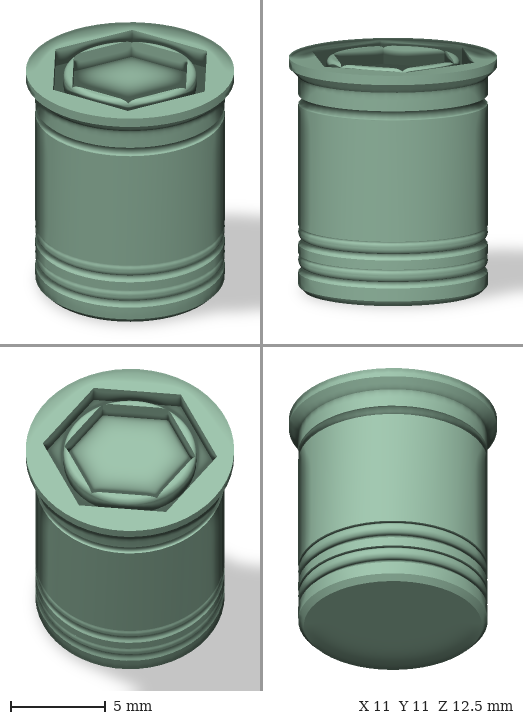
import cadquery as cq
import math

height = 12.5
body_radius = 5.0
bottom_chamfer = 0.3

flange_radius = 5.5
flange_rim_height = 0.5
flange_cone_height = flange_radius - body_radius

relief_top = 10.5
relief_width = 0.5
relief_depth = 0.3
relief_fillet = relief_width / 2

ring_bottoms = [1.3, 2.8]
ring_height = 0.7
ring_thickness = 0.7
ring_fillet = 0.3
groove_lip_chamfer = 0.3

drive_depth = 1.0
recess_across_flats = 8.0
socket_across_flats = 6.0
collar_radius = 3.5
collar_fillet = 0.3


def hex_prism(across_flats):
    """Hexagonal prism over the drive depth, with corners on the Y axis."""
    across_corners = across_flats / math.cos(math.pi / 6)
    return (
        cq.Workplane("XY")
        .workplane(offset=height - drive_depth)
        .transformed(rotate=(0, 0, 90))
        .polygon(6, across_corners)
        .extrude(drive_depth)
    )


def make_blank():
    """Solid plug with its flange and bottom chamfer."""
    rim_bottom = height - flange_rim_height
    return (
        cq.Workplane("XZ")
        .moveTo(0, 0)
        .lineTo(body_radius - bottom_chamfer, 0)
        .lineTo(body_radius, bottom_chamfer)
        .lineTo(body_radius, rim_bottom - flange_cone_height)
        .lineTo(flange_radius, rim_bottom)
        .lineTo(flange_radius, height)
        .lineTo(0, height)
        .close()
        .revolve(360, (0, 0, 0), (0, 1, 0))
    )


def make_relief_cutter():
    """Ring-shaped cutter for the relief groove, rounded at its inner edge."""
    floor_radius = body_radius - relief_depth
    arc_center_radius = floor_radius + relief_fillet
    return (
        cq.Workplane("XZ")
        .moveTo(body_radius, relief_top)
        .lineTo(arc_center_radius, relief_top)
        .threePointArc(
            (floor_radius, relief_top - relief_width / 2),
            (arc_center_radius, relief_top - relief_width),
        )
        .lineTo(body_radius, relief_top - relief_width)
        .close()
        .revolve(360, (0, 0, 0), (0, 1, 0))
    )


def make_ring_groove_cutter(ring_bottom):
    """Cutter for one ring seat, with a chamfered lip below the ring."""
    floor_radius = body_radius - ring_thickness
    ring_top = ring_bottom + ring_height
    return (
        cq.Workplane("XZ")
        .moveTo(floor_radius, ring_bottom)
        .lineTo(body_radius - groove_lip_chamfer, ring_bottom)
        .lineTo(body_radius, ring_bottom - groove_lip_chamfer)
        .lineTo(body_radius, ring_top)
        .lineTo(floor_radius, ring_top)
        .close()
        .revolve(360, (0, 0, 0), (0, 1, 0))
    )


def make_collar():
    """Round collar standing on the recess floor, with a rounded top edge."""
    return (
        cq.Workplane("XY")
        .workplane(offset=height - drive_depth)
        .circle(collar_radius)
        .extrude(drive_depth)
        .faces(">Z")
        .edges()
        .fillet(collar_fillet)
    )


def make_plug():
    """Plug with its grooves and hexagonal drive."""
    body = make_blank().cut(make_relief_cutter())
    for ring_bottom in ring_bottoms:
        body = body.cut(make_ring_groove_cutter(ring_bottom))
    recess = hex_prism(recess_across_flats).cut(make_collar())
    return body.cut(recess).cut(hex_prism(socket_across_flats))


def make_sealing_ring(ring_bottom):
    """Sealing ring flush with the plug body, rounded at its outer edges."""
    return (
        cq.Workplane("XY")
        .workplane(offset=ring_bottom)
        .circle(body_radius)
        .extrude(ring_height)
        .edges("%CIRCLE")
        .fillet(ring_fillet)
        .faces(">Z")
        .workplane()
        .circle(body_radius - ring_thickness)
        .cutThruAll()
    )


plug = make_plug()
sealing_rings = [make_sealing_ring(ring_bottom) for ring_bottom in ring_bottoms]

result = cq.Compound.makeCompound([plug.solids().val(), *[ring.solids().val() for ring in sealing_rings]])